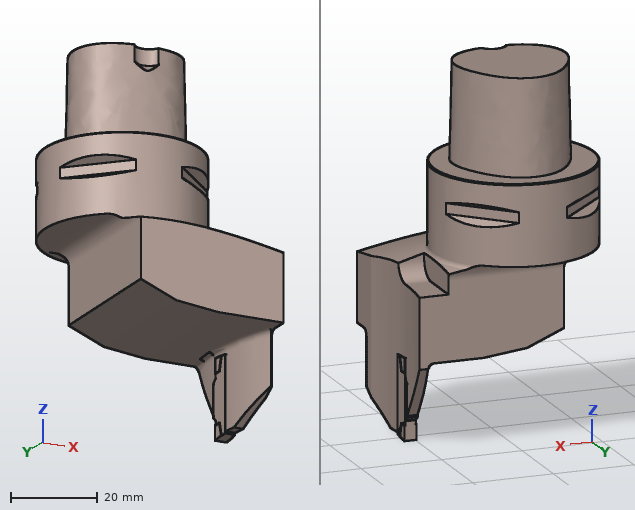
import cadquery as cq
import math


SHANK_HEIGHT = 23.85
SHANK_BASE_RADIUS = 14.1
SHANK_TOP_RADIUS = 13.5
SHANK_LOBE = 0.845
SHANK_SAMPLES = 36
NOTCH_RADIUS = 3.5
NOTCH_CENTER_Y = -14.1
NOTCH_DEPTH = 4.1
NOTCH_POINT = 3.1

FLANGE_RADIUS = 19.98
FLANGE_HEIGHT = 20.0
FLANGE_CHAMFER = 0.3
GROOVE_COUNT = 4
GROOVE_FIRST_ANGLE = 45
GROOVE_Z = -8.1
GROOVE_FLOOR_RADIUS = 17.7
GROOVE_FLOOR_WIDTH = 2.6
GROOVE_MOUTH_WIDTH = 5.25

HEAD_LEFT = -8.2
HEAD_RIGHT = 48.8 - FLANGE_RADIUS
HEAD_FRONT = FLANGE_RADIUS - 45.9
HEAD_BACK = 11.4
HEAD_BOTTOM = -43.5
HEAD_FLARE = 3.9
BEVEL_LEFT_Z = -38.45
BEVEL_KNEE = (1.0, -42.3)
BEVEL_END_X = 11.8
SHOULDER_FILLET = 1.1
SHOULDER_Z = -21.5
SHOULDER_ANGLE = 15
SEAT_X = 20.6
SEAT_Y = 0.3
SEAT_RADIUS = 4.4
SEAT_FLOOR_Z = -27.2

BLADE_OUTER_RADIUS = 74.8
BLADE_OUTER_X = 26.9
BLADE_THICKNESS = 2.7
BLADE_INNER_RADIUS = 48.1
BLADE_FRONT = -FLANGE_RADIUS
BLADE_BOTTOM = -64.3
BLADE_FRONT_BEVEL_Z = -57.2
BLADE_BOTTOM_Y = -8.1
BLADE_BACK_BEVEL_Z = -44.7
BLADE_FILLET = 1.4

INSERT_TIP_Z = 23.85 - 89
INSERT_TOP_Z = -45.0
INSERT_RAKE_Y = 0.1
INSERT_BACK_Y = -4.7
INSERT_RIB_Y = 1.25
INSERT_RIB_HALF = 4.1
INSERT_RIB_RUN = 1.1
INSERT_END_RELIEF = 0.4
EDGE_PROUD = 0.2
EDGE_LENGTH = 3.7
EDGE_ROOT_Y = -2.1
EDGE_TIP_Y = -3.1

OVER = 4.45
SPAN = 89

blade_inner_x = BLADE_OUTER_X - BLADE_THICKNESS
arc_center_x = BLADE_OUTER_X + BLADE_OUTER_RADIUS


def lobed_point(radius, angle):
    r = radius + SHANK_LOBE * math.cos(3 * (angle - math.pi / 2))
    return (r * math.cos(angle), r * math.sin(angle))


def lobed_outline(radius):
    step = 2 * math.pi / SHANK_SAMPLES
    return [lobed_point(radius, i * step) for i in range(SHANK_SAMPLES)]


def make_shank():
    shank = (
        cq.Workplane("XY").spline(lobed_outline(SHANK_BASE_RADIUS), periodic=True).close()
        .workplane(offset=SHANK_HEIGHT)
        .spline(lobed_outline(SHANK_TOP_RADIUS), periodic=True).close()
        .loft(ruled=True)
    )
    shoulder_z = SHANK_HEIGHT - NOTCH_DEPTH
    notch = (
        cq.Workplane("XZ")
        .polyline([
            (0, shoulder_z - NOTCH_POINT),
            (NOTCH_RADIUS, shoulder_z),
            (NOTCH_RADIUS, SHANK_HEIGHT + OVER),
            (0, SHANK_HEIGHT + OVER),
        ]).close()
        .revolve(360, (0, 0), (0, 1))
        .translate((0, NOTCH_CENTER_Y, 0))
    )
    return shank.cut(notch)


def make_flange():
    flange = (
        cq.Workplane("XY").circle(FLANGE_RADIUS).extrude(-FLANGE_HEIGHT)
        .faces(">Z").edges().chamfer(FLANGE_CHAMFER)
    )
    depth = FLANGE_RADIUS - GROOVE_FLOOR_RADIUS
    flank_slope = (GROOVE_MOUTH_WIDTH - GROOVE_FLOOR_WIDTH) / 2 / depth
    half_floor = GROOVE_FLOOR_WIDTH / 2
    half_mouth = half_floor + flank_slope * (depth + OVER)
    mouth_x = FLANGE_RADIUS + OVER
    groove = (
        cq.Workplane("XZ")
        .polyline([
            (GROOVE_FLOOR_RADIUS, GROOVE_Z - half_floor),
            (mouth_x, GROOVE_Z - half_mouth),
            (mouth_x, GROOVE_Z + half_mouth),
            (GROOVE_FLOOR_RADIUS, GROOVE_Z + half_floor),
        ]).close()
        .extrude(FLANGE_RADIUS, both=True)
    )
    for i in range(GROOVE_COUNT):
        angle = GROOVE_FIRST_ANGLE + i * 360 / GROOVE_COUNT
        flange = flange.cut(groove.rotate((0, 0, 0), (0, 0, 1), angle))
    return flange


def flare_arc_middle(wall, direction):
    """Middle point of the concave flare that leaves a wall outwards."""
    offset = HEAD_FLARE * (1 - math.sqrt(0.5))
    return (wall + direction * offset, -FLANGE_HEIGHT - offset)


def make_right_face_cutter():
    """Upright cylinder that shapes the concave right side of head and blade."""
    return (
        cq.Workplane("XY").center(arc_center_x, 0).circle(BLADE_OUTER_RADIUS)
        .extrude(SPAN, both=True)
    )


def make_shoulder_envelope():
    """Solid of revolution bounding the head below a conical shoulder."""
    drop = (SPAN - FLANGE_RADIUS) * math.tan(math.radians(SHOULDER_ANGLE))
    return (
        cq.Workplane("XZ")
        .moveTo(0, -FLANGE_HEIGHT)
        .lineTo(FLANGE_RADIUS, -FLANGE_HEIGHT)
        .lineTo(FLANGE_RADIUS, SHOULDER_Z + SHOULDER_FILLET)
        .radiusArc((FLANGE_RADIUS + SHOULDER_FILLET, SHOULDER_Z), -SHOULDER_FILLET)
        .lineTo(SPAN, SHOULDER_Z - drop)
        .lineTo(SPAN, -SPAN)
        .lineTo(0, -SPAN)
        .close()
        .revolve(360, (0, 0), (0, 1))
    )


def make_seat_cutter():
    """Flat-floored seat with a concave front end, open at the back and right."""
    wall_y = SEAT_Y - SEAT_RADIUS
    return (
        cq.Workplane("YZ").workplane(offset=SEAT_X)
        .moveTo(SPAN, SEAT_FLOOR_Z)
        .lineTo(SEAT_Y, SEAT_FLOOR_Z)
        .radiusArc((wall_y, SEAT_FLOOR_Z + SEAT_RADIUS), SEAT_RADIUS)
        .lineTo(wall_y, 0)
        .lineTo(SPAN, 0)
        .close()
        .extrude(SPAN)
    )


def make_head():
    side_profile = (
        cq.Workplane("XZ").workplane(offset=-SPAN)
        .moveTo(HEAD_LEFT - HEAD_FLARE, -FLANGE_HEIGHT)
        .threePointArc(
            flare_arc_middle(HEAD_LEFT, -1),
            (HEAD_LEFT, -FLANGE_HEIGHT - HEAD_FLARE),
        )
        .lineTo(HEAD_LEFT, BEVEL_LEFT_Z)
        .lineTo(*BEVEL_KNEE)
        .lineTo(BEVEL_END_X, HEAD_BOTTOM)
        .lineTo(HEAD_RIGHT, HEAD_BOTTOM)
        .lineTo(HEAD_RIGHT, -FLANGE_HEIGHT)
        .close()
        .extrude(2 * SPAN)
    )
    end_profile = (
        cq.Workplane("YZ").workplane(offset=-SPAN)
        .moveTo(HEAD_BACK + HEAD_FLARE, -FLANGE_HEIGHT)
        .threePointArc(
            flare_arc_middle(HEAD_BACK, 1),
            (HEAD_BACK, -FLANGE_HEIGHT - HEAD_FLARE),
        )
        .lineTo(HEAD_BACK, HEAD_BOTTOM)
        .lineTo(HEAD_FRONT, HEAD_BOTTOM)
        .lineTo(HEAD_FRONT, -FLANGE_HEIGHT)
        .close()
        .extrude(2 * SPAN)
    )
    head = side_profile.intersect(end_profile).intersect(make_shoulder_envelope())
    return head.cut(make_seat_cutter())


def make_blade():
    outline = (
        cq.Workplane("YZ").workplane(offset=BLADE_OUTER_X - 2 * BLADE_THICKNESS)
        .polyline([
            (HEAD_BACK, HEAD_BOTTOM),
            (HEAD_BACK, BLADE_BACK_BEVEL_Z),
            (INSERT_RAKE_Y, INSERT_TIP_Z + EDGE_LENGTH + INSERT_RIB_RUN),
            (INSERT_BACK_Y, BLADE_BOTTOM),
            (BLADE_BOTTOM_Y, BLADE_BOTTOM),
            (BLADE_FRONT, BLADE_FRONT_BEVEL_Z),
            (BLADE_FRONT, HEAD_BOTTOM),
        ]).close()
        .extrude(HEAD_RIGHT - BLADE_OUTER_X + 2 * BLADE_THICKNESS)
    )
    inner_face = (
        cq.Workplane("XY").center(blade_inner_x + BLADE_INNER_RADIUS, 0)
        .circle(BLADE_INNER_RADIUS)
        .extrude(-SPAN)
    )
    return outline.intersect(inner_face)


def make_insert():
    middle_z = (INSERT_TOP_Z + INSERT_TIP_Z) / 2
    half_length = (INSERT_TOP_Z - INSERT_TIP_Z) / 2
    rib_end = INSERT_RIB_HALF + INSERT_RIB_RUN
    back_half = half_length - INSERT_END_RELIEF
    insert = (
        cq.Workplane("YZ").workplane(offset=blade_inner_x)
        .polyline([
            (INSERT_RAKE_Y, middle_z + half_length),
            (INSERT_RAKE_Y, middle_z + rib_end),
            (INSERT_RIB_Y, middle_z + INSERT_RIB_HALF),
            (INSERT_RIB_Y, middle_z - INSERT_RIB_HALF),
            (INSERT_RAKE_Y, middle_z - rib_end),
            (INSERT_RAKE_Y, middle_z - half_length),
            (INSERT_BACK_Y, middle_z - back_half),
            (INSERT_BACK_Y, middle_z + back_half),
        ]).close()
        .extrude(BLADE_THICKNESS)
    )
    tip_slope = INSERT_END_RELIEF / (INSERT_RAKE_Y - INSERT_BACK_Y)
    edge_tip_half = half_length - tip_slope * (INSERT_RAKE_Y - EDGE_TIP_Y)
    for end in (1, -1):
        edge = (
            cq.Workplane("YZ").workplane(offset=blade_inner_x - EDGE_PROUD)
            .polyline([
                (INSERT_RAKE_Y, middle_z + end * half_length),
                (INSERT_RAKE_Y, middle_z + end * (half_length - EDGE_LENGTH)),
                (EDGE_ROOT_Y, middle_z + end * (half_length - EDGE_LENGTH)),
                (EDGE_TIP_Y, middle_z + end * edge_tip_half),
            ]).close()
            .extrude(BLADE_THICKNESS + 2 * EDGE_PROUD)
        )
        insert = insert.union(edge)
    return insert


def fillet_blade_root(body):
    """Round the concave corner between the head underside and the blade."""
    root_box = cq.selectors.BoxSelector(
        (blade_inner_x - 0.9, BLADE_FRONT - 0.9, HEAD_BOTTOM - 0.1),
        (HEAD_RIGHT - 0.1, HEAD_BACK - 0.9, HEAD_BOTTOM + 0.1),
    )
    return body.edges(root_box).fillet(BLADE_FILLET)


def make_holder(insert):
    head_and_blade = fillet_blade_root(make_head().union(make_blade()))
    head_and_blade = head_and_blade.cut(make_right_face_cutter())
    return make_shank().union(make_flange()).union(head_and_blade).cut(insert)


insert = make_insert()
holder = make_holder(insert)
result = cq.Compound.makeCompound([holder.val(), insert.val()])